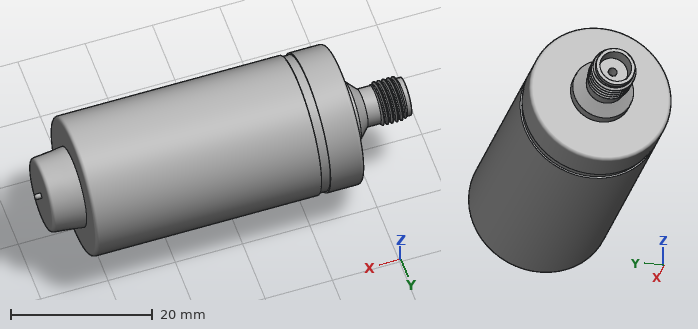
import cadquery as cq
import math


total_length = 55.16
thread_start = 0.65
thread_end = 4.55
cone_start = 6.5
cone_end = 8.05
body_start = 9.5
body_end = 49.4
body_length = body_end - body_start
groove_start = 14.55
groove_width = 1.35
boss_end = 54.2

body_radius = 10.25
groove_depth = 0.25
collar_radius = 4.4
neck_radius = 2.8
boss_base_radius = 5.93
boss_end_radius = 5.4
pin_radius = 0.4

body_edge_radius = 0.5
boss_edge_radius = 0.5

socket_mouth_radius = 2.28
socket_floor_radius = 2.15
socket_depth = 1.95
contact_hole_mouth_radius = 0.62
contact_hole_floor_radius = 0.48
contact_hole_depth = 2.0

thread_radius = 3.175
thread_pitch = 25.4 / 36
thread_crest_width = thread_pitch / 8
ridge_overlap = 0.1
ridge_base_width = 0.62
runout_length = 0.55
thread_lead_in = 0.74
envelope_clearance = 0.2


def cylinder(start, length, radius):
    """Solid cylinder on the X axis."""
    return cq.Workplane("YZ", origin=(start, 0, 0)).circle(radius).extrude(length)


def revolve_about_x(profile):
    """Close a half profile along the X axis and turn it into a solid."""
    return profile.close().revolve(360, (0, 0, 0), (1, 0, 0))


def make_connector():
    """Plain neck that widens through a cone into the collar."""
    profile = (
        cq.Workplane("XY")
        .lineTo(0, neck_radius)
        .lineTo(cone_start, neck_radius)
        .lineTo(cone_end, collar_radius)
        .lineTo(body_start, collar_radius)
        .lineTo(body_start, 0)
    )
    return revolve_about_x(profile)


def make_body():
    """Main barrel with rounded ends and one shallow ring groove."""
    barrel = cylinder(body_start, body_length, body_radius).edges("%CIRCLE").fillet(body_edge_radius)
    groove = cylinder(groove_start, groove_width, body_radius + groove_depth)
    groove = groove.cut(cylinder(groove_start, groove_width, body_radius - groove_depth))
    return barrel.cut(groove)


def make_boss():
    """Tapered end boss with a rounded rim."""
    profile = (
        cq.Workplane("XY")
        .moveTo(body_end, 0)
        .lineTo(body_end, boss_base_radius)
        .lineTo(boss_end, boss_end_radius)
        .lineTo(boss_end, 0)
    )
    return revolve_about_x(profile).faces(">X").edges().fillet(boss_edge_radius)


def make_pin():
    """Centre pin with a hemispherical tip."""
    tip_center_x = total_length - pin_radius
    tip_offset = pin_radius * math.sqrt(0.5)
    profile = (
        cq.Workplane("XY")
        .moveTo(boss_end, 0)
        .lineTo(boss_end, pin_radius)
        .lineTo(tip_center_x, pin_radius)
        .threePointArc((tip_center_x + tip_offset, tip_offset), (total_length, 0))
    )
    return revolve_about_x(profile)


def make_thread():
    """Right-hand helical ridge on the neck, running out at both ends."""
    base_radius = neck_radius - ridge_overlap
    half_base = ridge_base_width / 2
    half_crest = thread_crest_width / 2
    length = thread_end - thread_start
    envelope_radius = thread_radius + envelope_clearance
    helix = cq.Wire.makeHelix(thread_pitch, length + 2 * thread_lead_in, base_radius)
    ridge = (
        cq.Workplane("XZ")
        .moveTo(base_radius, -half_base)
        .lineTo(thread_radius, -half_crest)
        .lineTo(thread_radius, half_crest)
        .lineTo(base_radius, half_base)
        .close()
        .sweep(cq.Workplane(obj=helix), isFrenet=True)
        .rotate((0, 0, 0), (0, 1, 0), 90)
        .translate((thread_start - thread_lead_in, 0, 0))
    )
    envelope = revolve_about_x(
        cq.Workplane("XY")
        .moveTo(thread_start, 0)
        .lineTo(thread_start, neck_radius)
        .lineTo(thread_start + runout_length, envelope_radius)
        .lineTo(thread_end - runout_length, envelope_radius)
        .lineTo(thread_end, neck_radius)
        .lineTo(thread_end, 0)
    )
    return ridge.intersect(envelope)


def make_socket():
    """Tapered connector bore with a tapered contact hole in its floor."""
    profile = (
        cq.Workplane("XY")
        .lineTo(0, socket_mouth_radius)
        .lineTo(socket_depth, socket_floor_radius)
        .lineTo(socket_depth, contact_hole_mouth_radius)
        .lineTo(socket_depth + contact_hole_depth, contact_hole_floor_radius)
        .lineTo(socket_depth + contact_hole_depth, 0)
    )
    return revolve_about_x(profile)


result = make_connector().union(make_thread()).union(make_body()).union(make_boss()).union(make_pin())
result = result.cut(make_socket())